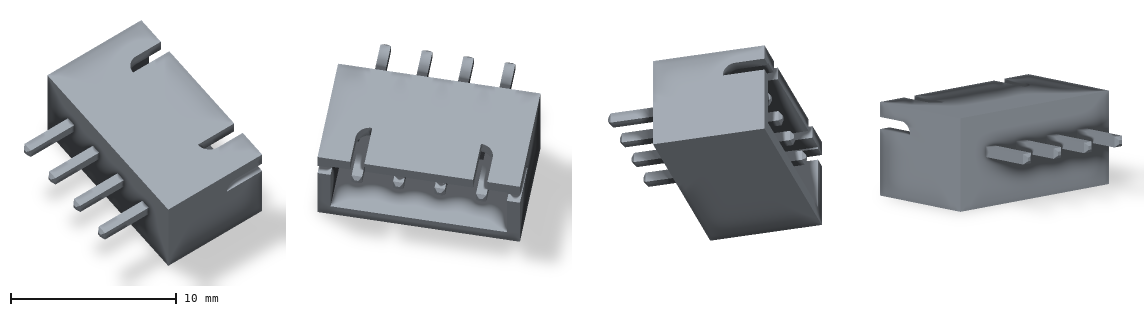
import cadquery as cq
import math

housing_width = 12.4
housing_depth = 7.0
housing_height = 5.75
wall = 0.8
base_thickness = 2.0

pin_count = 4
pin_pitch = 2.54
pin_size = 0.64
pin_taper = 0.2
pin_protrusion = 3.45
pin_mouth_gap = 0.25
first_pin_inset = 2.45
pin_height = 3.4

top_slot_depth = 2.7
top_slot_width = 0.87
top_slot_inset = 2.0
side_slot_depth = 2.62
side_slot_height = 0.75
side_slot_floor = 4.08

housing_left = -housing_width / 2


def make_housing():
    """Outer box with the mating cavity opening toward +Y."""
    outer = cq.Workplane("XY").box(
        housing_width, housing_depth, housing_height, centered=(True, False, False)
    )
    cavity = (
        cq.Workplane("XY")
        .box(
            housing_width - 2 * wall,
            housing_depth - base_thickness,
            housing_height - 2 * wall,
            centered=(True, False, False),
        )
        .translate((0, base_thickness, wall))
    )
    return outer.cut(cavity)


def slot_outline(plane, straight_edge, rounded_edge, depth):
    """Slot profile open at the mouth, one inner corner rounded over the full slot width."""
    radius = abs(rounded_edge - straight_edge)
    slot_end = housing_depth - depth
    diagonal = radius * math.cos(math.radians(45))
    toward_rounded = 1 if rounded_edge > straight_edge else -1
    arc_middle = (
        straight_edge + toward_rounded * diagonal,
        slot_end + radius - diagonal,
    )

    def point(across, along):
        return (across, along) if plane == "XY" else (along, across)

    return (
        cq.Workplane(plane)
        .moveTo(*point(straight_edge, housing_depth))
        .lineTo(*point(straight_edge, slot_end))
        .threePointArc(point(*arc_middle), point(rounded_edge, slot_end + radius))
        .lineTo(*point(rounded_edge, housing_depth))
        .close()
    )


def make_top_slot(side):
    """Slot through the top wall only; side is -1 for left, +1 for right."""
    outer_edge = side * (housing_width / 2 - top_slot_inset)
    inner_edge = outer_edge - side * top_slot_width
    slot = slot_outline("XY", inner_edge, outer_edge, top_slot_depth).extrude(wall)
    return slot.translate((0, 0, housing_height - wall))


def make_side_slots():
    """One cut along X that opens both side walls above the pins."""
    side_slot_ceiling = side_slot_floor + side_slot_height
    slot = slot_outline("YZ", side_slot_floor, side_slot_ceiling, side_slot_depth)
    return slot.extrude(housing_width / 2, both=True)


def make_pin(index):
    """Square pin along Y with both ends tapered."""
    length = pin_protrusion + housing_depth - pin_mouth_gap
    center_x = housing_left + first_pin_inset + index * pin_pitch
    pin = cq.Workplane("XY").box(pin_size, length, pin_size, centered=(True, False, True))
    pin = pin.faces("<Y or >Y").chamfer(pin_taper)
    return pin.translate((center_x, -pin_protrusion, pin_height))


result = make_housing().cut(make_side_slots())
for side in (-1, 1):
    result = result.cut(make_top_slot(side))
for index in range(pin_count):
    result = result.union(make_pin(index))